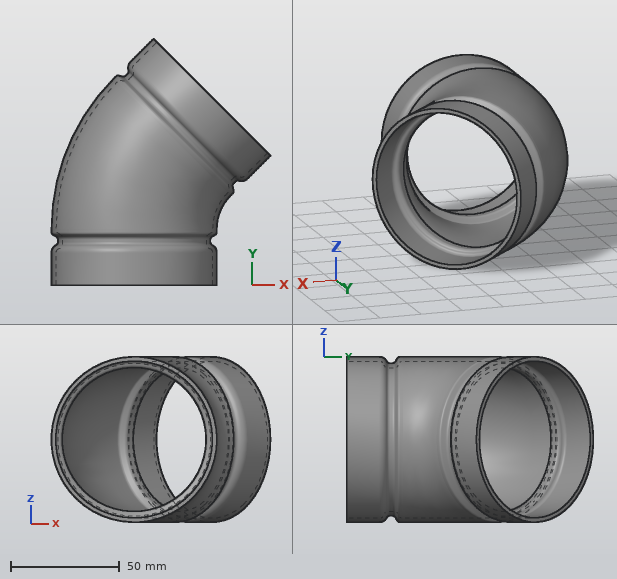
import cadquery as cq
import math


outer_radius = 76.3 / 2
wall = 2.0
inner_radius = outer_radius - wall

bend_angle = 45
bend_radius = 60.0
port_length = 25.9

groove_depth = 3.0
groove_place = 20.5
outer_floor_width = 1.1
inner_floor_width = 3.1

outer_end_root = 1.5
outer_end_shoulder = 3.9
inner_end_root = 1.9
inner_end_shoulder = inner_end_root
bend_root = 1.6
bend_shoulder = 1.3
bend_flank_angle = 58

shortest_edge = 0.001


def touching_angle(root, shoulder):
    """Steepest angle, in degrees, of two touching arcs that cover the groove depth."""
    return math.degrees(math.acos(1 - groove_depth / (root + shoulder)))


def flank_points(floor_radius, floor_edge, direction, root, shoulder, angle):
    """Points (radius, place) of one flank, from the groove floor up to the pipe surface."""
    steepest = math.radians(angle)
    slope_rise = groove_depth - (root + shoulder) * (1 - math.cos(steepest))
    slope_run = slope_rise / math.tan(steepest)
    total_run = (root + shoulder) * math.sin(steepest) + slope_run

    def root_point(turn):
        rise = root * (1 - math.cos(turn))
        run = root * math.sin(turn)
        return floor_radius + rise, floor_edge + direction * run

    def shoulder_point(turn):
        rise = groove_depth - shoulder * (1 - math.cos(turn))
        run = total_run - shoulder * math.sin(turn)
        return floor_radius + rise, floor_edge + direction * run

    root_arc = [root_point(turn) for turn in (0, steepest / 2, steepest)]
    shoulder_arc = [shoulder_point(turn) for turn in (steepest, steepest / 2, 0)]
    return root_arc + shoulder_arc


def draw_flank(outline, points):
    """Add a flank to an outline: a line to its start, an arc, any straight slope, an arc."""
    start, first_middle, first_end, second_start, second_middle, end = points
    outline = outline.lineTo(*start).threePointArc(first_middle, first_end)
    if math.dist(first_end, second_start) > shortest_edge:
        outline = outline.lineTo(*second_start)
    return outline.threePointArc(second_middle, end)


def grooved_cylinder(radius, floor_width, end_root, end_shoulder):
    """Solid cylinder about Y, as long as a port, with the groove turned into it."""
    floor_radius = radius - groove_depth
    end_angle = touching_angle(end_root, end_shoulder)
    end_flank = flank_points(
        floor_radius, groove_place - floor_width / 2, -1, end_root, end_shoulder, end_angle
    )
    bend_flank = flank_points(
        floor_radius, groove_place + floor_width / 2, 1, bend_root, bend_shoulder, bend_flank_angle
    )

    outline = cq.Workplane("XY").lineTo(radius, 0)
    outline = draw_flank(outline, end_flank[::-1])
    outline = draw_flank(outline, bend_flank)
    outline = outline.lineTo(radius, port_length).lineTo(0, port_length).close()
    return outline.revolve(360, (0, 0, 0), (0, 1, 0))


def make_port():
    """Port with its open end at Y = 0, facing -Y."""
    outside = grooved_cylinder(outer_radius, outer_floor_width, outer_end_root, outer_end_shoulder)
    bore = grooved_cylinder(inner_radius, inner_floor_width, inner_end_root, inner_end_shoulder)
    return outside.cut(bore)


def make_bend():
    """Curved pipe that starts at the inner end of the first port and turns towards +X."""
    return (
        cq.Workplane("XZ", origin=(0, port_length, 0))
        .circle(outer_radius)
        .circle(inner_radius)
        .revolve(bend_angle, (bend_radius, 0, 0), (bend_radius, -1, 0))
    )


near_port = make_port()

mirrored_port = near_port.mirror("XZ", (0, port_length, 0))
far_port = mirrored_port.rotate(
    (bend_radius, port_length, 0), (bend_radius, port_length, 1), -bend_angle
)

result = near_port.union(make_bend()).union(far_port)